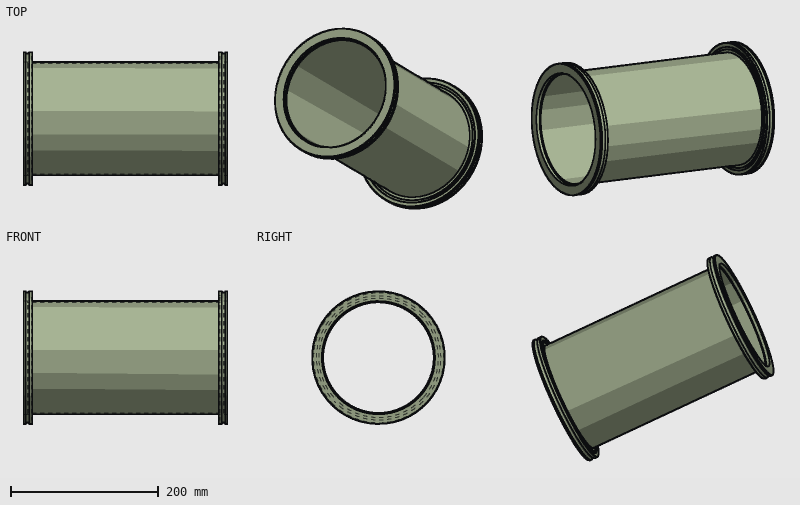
import cadquery as cq

LENGTH = 276.0
FLANGE_RADIUS = 90.0

FLANGE_THICKNESS = 12.1
RIM_CHAMFER = 0.5

RELIEF_INNER_RADIUS = 81.0
RELIEF_OUTER_RADIUS = 84.2
RELIEF_DEPTH = 1.5

GROOVE_CENTRE = 5.2
GROOVE_WIDTH = 5.0
GROOVE_DEPTH = 2.0

TUBE_RADIUS = 76.7
TUBE_INNER_RADIUS = 74.8
TUBE_RECESS = 5.0
TUBE_BORE_CHAMFER = 0.8


def make_tube():
    """Plain tube along X, ending just inside each flange, with chamfered bore edges."""
    tube_length = LENGTH - 2 * TUBE_RECESS
    return (
        cq.Workplane("YZ", origin=(-tube_length / 2, 0, 0))
        .circle(TUBE_RADIUS)
        .circle(TUBE_INNER_RADIUS)
        .extrude(tube_length)
        .edges(cq.selectors.RadiusNthSelector(0))
        .chamfer(TUBE_BORE_CHAMFER)
    )


def make_flange():
    """Flange at the -X end: a chamfered ring with a rim groove and a relief groove."""
    outer_face = -LENGTH / 2
    inner_face = outer_face + FLANGE_THICKNESS
    relief_floor = inner_face - RELIEF_DEPTH
    chamfered_radius = FLANGE_RADIUS - RIM_CHAMFER
    groove_x = outer_face + GROOVE_CENTRE
    groove_start = (groove_x - GROOVE_WIDTH / 2, FLANGE_RADIUS)
    groove_bottom = (groove_x, FLANGE_RADIUS - GROOVE_DEPTH)
    groove_end = (groove_x + GROOVE_WIDTH / 2, FLANGE_RADIUS)
    return (
        cq.Workplane("XY")
        .moveTo(outer_face, TUBE_RADIUS)
        .lineTo(outer_face, chamfered_radius)
        .lineTo(outer_face + RIM_CHAMFER, FLANGE_RADIUS)
        .lineTo(*groove_start)
        .threePointArc(groove_bottom, groove_end)
        .lineTo(inner_face - RIM_CHAMFER, FLANGE_RADIUS)
        .lineTo(inner_face, chamfered_radius)
        .lineTo(inner_face, RELIEF_OUTER_RADIUS)
        .lineTo(relief_floor, RELIEF_OUTER_RADIUS)
        .lineTo(relief_floor, RELIEF_INNER_RADIUS)
        .lineTo(inner_face, RELIEF_INNER_RADIUS)
        .lineTo(inner_face, TUBE_RADIUS)
        .close()
        .revolve(360, (0, 0, 0), (1, 0, 0))
    )


tube = make_tube()
left_flange = make_flange()
flanges = [left_flange, left_flange.mirror("YZ")]

result = cq.Compound.makeCompound([tube.val(), *[flange.val() for flange in flanges]])